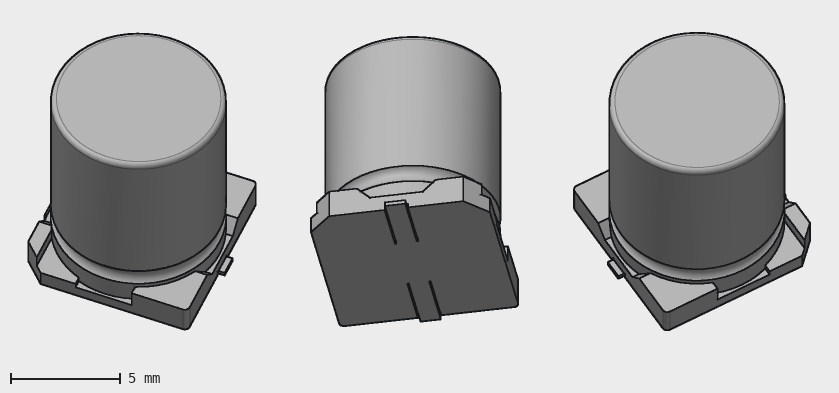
import cadquery as cq
import math

base_side = 8.3
base_height = 1.4
ledge_height = 0.8
channel_floor = 0.56
channel_width = base_side / 3
end_wall_thickness = 0.72
corner_chamfer = 1.04
corner_radius = 0.24

notch_floor_width = 2.45
notch_slope_angle = 45

lead_span = 8.9
lead_width = 0.94
lead_height = 0.2
lead_gap = 3.1
slot_width = 1.08

can_radius = 8.0 / 2
can_top = 10.01
rim_radius = 0.25
groove_bottom = 1.64
groove_top = 2.52
groove_depth = 0.25


def block(x_start, x_end, width, z_start, z_end):
    """Box centred on Y, given by its X and Z limits."""
    size = (x_end - x_start, width, z_end - z_start)
    return cq.Workplane("XY").box(*size, centered=(False, True, False)).translate((x_start, 0, z_start))


def make_base():
    half_side = base_side / 2
    base = block(-half_side, half_side, base_side, 0, base_height)
    base = base.edges("|Z and <X").chamfer(corner_chamfer)
    base = base.edges("|Z and >X").fillet(corner_radius)

    half_channel = channel_width / 2
    ledge_start = -half_side + end_wall_thickness
    base = base.cut(block(ledge_start, half_channel, base_side, ledge_height, base_height))
    base = base.cut(block(-half_channel, half_channel, base_side, channel_floor, base_height))
    return base.cut(make_notch())


def make_notch():
    """Trapezoidal prism along X that opens the middle of both end walls."""
    half_floor = notch_floor_width / 2
    slope_run = (base_height - ledge_height) / math.tan(math.radians(notch_slope_angle))
    half_mouth = half_floor + slope_run
    return (
        cq.Workplane("YZ")
        .polyline([
            (-half_floor, ledge_height),
            (half_floor, ledge_height),
            (half_mouth, base_height),
            (-half_mouth, base_height),
        ])
        .close()
        .extrude(base_side / 2, both=True)
    )


def make_can():
    """Round can with a rounded top rim and a crimp groove, standing on the channel floor."""
    rim_mid = rim_radius * math.sqrt(0.5)
    return (
        cq.Workplane("XZ")
        .moveTo(0, channel_floor)
        .lineTo(can_radius, channel_floor)
        .lineTo(can_radius, groove_bottom)
        .threePointArc(
            (can_radius - groove_depth, (groove_bottom + groove_top) / 2),
            (can_radius, groove_top),
        )
        .lineTo(can_radius, can_top - rim_radius)
        .threePointArc(
            (can_radius - rim_radius + rim_mid, can_top - rim_radius + rim_mid),
            (can_radius - rim_radius, can_top),
        )
        .lineTo(0, can_top)
        .close()
        .revolve(360, (0, 0, 0), (0, 1, 0))
    )


result = make_base().union(make_can())

slot = block(lead_gap / 2, base_side / 2, slot_width, 0, lead_height)
lead = block(lead_gap / 2, lead_span / 2, lead_width, 0, lead_height)
for turn in (0, 180):
    result = result.cut(slot.rotate((0, 0, 0), (0, 0, 1), turn))
    result = result.union(lead.rotate((0, 0, 0), (0, 0, 1), turn))